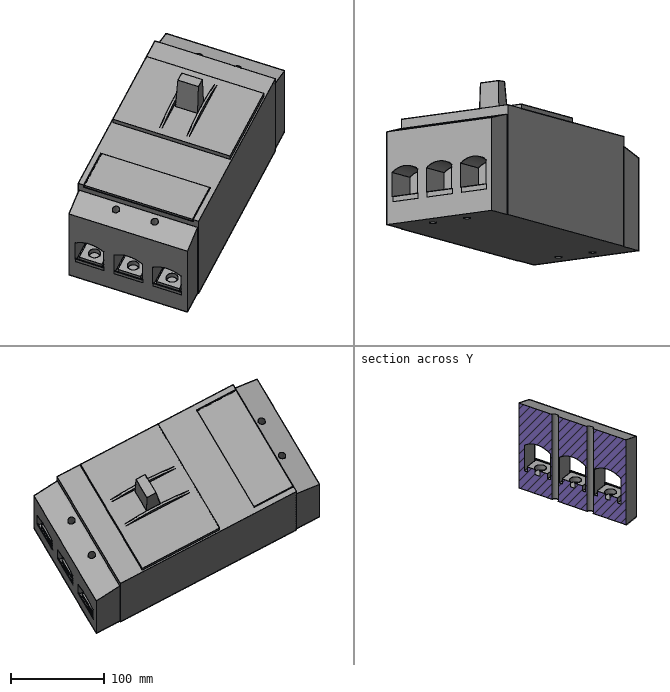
import cadquery as cq
import math

HOUSING_LENGTH = 274.5
MAIN_WIDTH = 140.0
MAIN_LENGTH = 216.5
MAIN_HEIGHT = 120.2
END_WIDTH = 137.7
END_TOP_Z = 109.5
END_OUTER_Z = 101.5
END_LEDGE = 2.2

MOUNT_DIAMETER = 7.7
MOUNT_SPACING_X = 45.0
MOUNT_SPACING_Y = 233.8

POCKET_PITCH = 45.0
POCKET_COUNT = 3
POCKET_WIDTH = 33.2
POCKET_DEPTH = 33.0
POCKET_FLOOR_Z = 24.5
POCKET_SPRING_Z = 56.3
POCKET_CROWN_Z = 62.0
LIP_TOP_Z = 30.0
LIP_THICKNESS = 1.02

BAR_WIDTH = 26.3
BAR_TOP_Z = 30.7
BAR_SETBACK = 3.3
BAR_HOLE_DIAMETER = 12.5
BAR_HOLE_SETBACK = 14.5

FLAP_BACK_Y = -59.8
FLAP_WIDTH = 125.7
FLAP_THICKNESS = 2.7
FLAP_GAP = 0.8

PLATE_WIDTH = 136.0
PLATE_LENGTH = 95.2
PLATE_THICKNESS = 5.5
PLATE_CENTRE_Y = 32.7
RIB_WIDTH = 2.7
RIB_LENGTH = 78.0
RIB_HEIGHT = 5.5
RIB_SPACING = 31.5

TOTAL_HEIGHT = 164.5
HANDLE_BASE_WIDTH = 25.8
HANDLE_TOP_WIDTH = 24.0
HANDLE_BASE_FRONT_Y = 27.2
HANDLE_BASE_BACK_Y = 44.2
HANDLE_TOP_FRONT_Y = 32.0
HANDLE_TOP_BACK_Y = 43.4
HANDLE_LEAN_DEGREES = 3.0

END_FACE_Y = HOUSING_LENGTH / 2
MAIN_FACE_Y = MAIN_LENGTH / 2
PLATE_TOP_Z = MAIN_HEIGHT + PLATE_THICKNESS
POCKET_XS = [(i - (POCKET_COUNT - 1) / 2) * POCKET_PITCH for i in range(POCKET_COUNT)]


def box_between(x_range, y_range, z_range):
    """Axis-aligned box spanning the three (low, high) ranges."""
    size = [high - low for low, high in (x_range, y_range, z_range)]
    return cq.Workplane("XY").box(*size, centered=False).translate((x_range[0], y_range[0], z_range[0]))


def centred_range(width, centre=0.0):
    return centre - width / 2, centre + width / 2


def end_blocks():
    """Both end blocks as one bar through the main block, sloping down towards each end."""
    slope_start_y = MAIN_FACE_Y + END_LEDGE
    return (
        cq.Workplane("YZ")
        .moveTo(-END_FACE_Y, 0)
        .lineTo(END_FACE_Y, 0)
        .lineTo(END_FACE_Y, END_OUTER_Z)
        .lineTo(slope_start_y, END_TOP_Z)
        .lineTo(-slope_start_y, END_TOP_Z)
        .lineTo(-END_FACE_Y, END_OUTER_Z)
        .close()
        .extrude(END_WIDTH / 2, both=True)
    )


def terminal_pocket(x):
    """Arched pocket in the -Y end face, minus the lip and the drilled bar that stay in it."""
    half_width = POCKET_WIDTH / 2
    cavity = (
        cq.Workplane("XZ", origin=(x, -END_FACE_Y, 0))
        .moveTo(-half_width, POCKET_FLOOR_Z)
        .lineTo(half_width, POCKET_FLOOR_Z)
        .lineTo(half_width, POCKET_SPRING_Z)
        .threePointArc((0, POCKET_CROWN_Z), (-half_width, POCKET_SPRING_Z))
        .close()
        .extrude(-POCKET_DEPTH)
    )
    lip = box_between(
        centred_range(POCKET_WIDTH, x),
        (-END_FACE_Y, -END_FACE_Y + LIP_THICKNESS),
        (POCKET_FLOOR_Z, LIP_TOP_Z),
    )
    bar = box_between(
        centred_range(BAR_WIDTH, x),
        (-END_FACE_Y + BAR_SETBACK, -END_FACE_Y + POCKET_DEPTH),
        (POCKET_FLOOR_Z, BAR_TOP_Z),
    )
    bar_hole = (
        cq.Workplane("XY", origin=(x, -END_FACE_Y + BAR_HOLE_SETBACK, POCKET_FLOOR_Z))
        .circle(BAR_HOLE_DIAMETER / 2)
        .extrude(BAR_TOP_Z - POCKET_FLOOR_Z)
    )
    return cavity.cut(lip).cut(bar.cut(bar_hole))


def mounting_holes():
    return (
        cq.Workplane("XY")
        .rarray(MOUNT_SPACING_X, MOUNT_SPACING_Y, 2, 2)
        .circle(MOUNT_DIAMETER / 2)
        .extrude(END_TOP_Z)
    )


def flap_recess():
    """Shallow recess, wider and deeper than the flap by the gap around it."""
    return box_between(
        centred_range(FLAP_WIDTH + 2 * FLAP_GAP),
        (-MAIN_FACE_Y, FLAP_BACK_Y),
        (MAIN_HEIGHT - FLAP_THICKNESS - FLAP_GAP, MAIN_HEIGHT),
    )


def make_housing():
    body = box_between(
        centred_range(MAIN_WIDTH), centred_range(MAIN_LENGTH), (0, MAIN_HEIGHT)
    ).union(end_blocks())
    for x in POCKET_XS:
        pocket = terminal_pocket(x)
        body = body.cut(pocket).cut(pocket.mirror("XZ"))
    return body.cut(mounting_holes()).cut(flap_recess())


def make_flap():
    """Cover flap, held by the back wall of its recess."""
    return box_between(
        centred_range(FLAP_WIDTH),
        (-MAIN_FACE_Y, FLAP_BACK_Y),
        (MAIN_HEIGHT - FLAP_THICKNESS, MAIN_HEIGHT),
    )


def rib(x):
    """Thin upright rib with an arched top, running along Y."""
    return (
        cq.Workplane("YZ", origin=(x, PLATE_CENTRE_Y, PLATE_TOP_Z))
        .moveTo(-RIB_LENGTH / 2, 0)
        .threePointArc((0, RIB_HEIGHT), (RIB_LENGTH / 2, 0))
        .close()
        .extrude(RIB_WIDTH / 2, both=True)
    )


def make_plate():
    plate = box_between(
        centred_range(PLATE_WIDTH),
        centred_range(PLATE_LENGTH, PLATE_CENTRE_Y),
        (MAIN_HEIGHT, PLATE_TOP_Z),
    )
    for side in (-1, 1):
        plate = plate.union(rib(side * RIB_SPACING / 2))
    return plate


def make_handle():
    """Handle standing on the plate, tapering upwards, with a top tilted by its lean."""
    top_drop = (HANDLE_TOP_BACK_Y - HANDLE_TOP_FRONT_Y) * math.tan(math.radians(HANDLE_LEAN_DEGREES))
    side_profile = (
        cq.Workplane("YZ")
        .moveTo(HANDLE_BASE_FRONT_Y, PLATE_TOP_Z)
        .lineTo(HANDLE_BASE_BACK_Y, PLATE_TOP_Z)
        .lineTo(HANDLE_TOP_BACK_Y, TOTAL_HEIGHT - top_drop)
        .lineTo(HANDLE_TOP_FRONT_Y, TOTAL_HEIGHT)
        .close()
        .extrude(HANDLE_BASE_WIDTH / 2, both=True)
    )
    front_profile = (
        cq.Workplane("XZ")
        .moveTo(-HANDLE_BASE_WIDTH / 2, PLATE_TOP_Z)
        .lineTo(HANDLE_BASE_WIDTH / 2, PLATE_TOP_Z)
        .lineTo(HANDLE_TOP_WIDTH / 2, TOTAL_HEIGHT)
        .lineTo(-HANDLE_TOP_WIDTH / 2, TOTAL_HEIGHT)
        .close()
        .extrude(-HANDLE_BASE_BACK_Y)
    )
    return side_profile.intersect(front_profile)


housing = make_housing()
flap = make_flap()
plate = make_plate()
handle = make_handle()

bodies = [housing, flap, plate, handle]
result = cq.Compound.makeCompound([body.solids().val() for body in bodies])